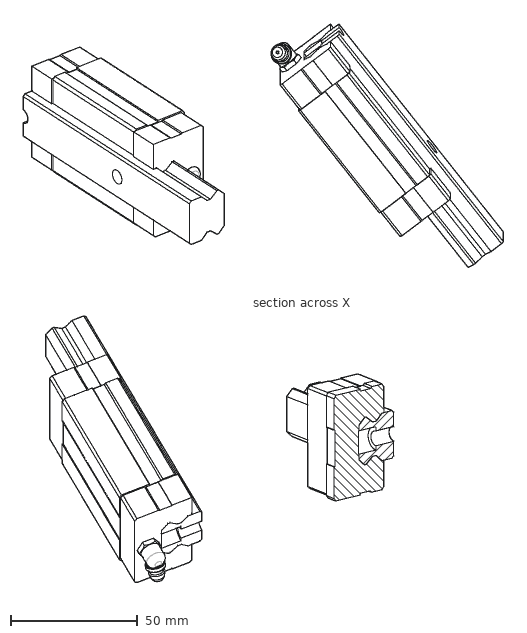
import cadquery as cq
import math


rail_length = 106.0
rail_height = 17.6
rail_half_width = 10.0
rail_edge_chamfer = 0.9
rail_waist_half_width = 7.3
rail_foot_top = 6.1
rail_groove_bottom = 8.9
rail_groove_top = 10.6
rail_head_bottom = 13.8
rail_head_top = 14.8
hole_pitch = 60.0
hole_count = 2
hole_diameter = 6.0
counterbore_diameter = 9.5
counterbore_depth = 8.5

cap_length = 12.7
block_length = 52.1
carriage_length = block_length + 2 * cap_length

block_half_width = 44.0 / 2
block_bottom = 4.9
block_top = 30.0
block_chamfer_across = 1.3
block_chamfer_height = 0.9
block_groove_bottom = 11.0
block_groove_top = 16.8
block_groove_depth = 0.7
top_recess_width = 15.3
top_recess_depth = 0.4

cap_half_width = 21.4
cap_bottom = 4.3
cap_top = 29.5
cap_chamfer = 1.0
cap_groove_bottom = 13.0
cap_groove_top = 18.4
cap_groove_depth = 0.29
cap_groove_slope = 0.6

fitting_height = 23.6
plug_diameter = 7.9
plug_length = 1.4
plug_rounding = 1.3
hex_corner_diameter = 9.5
hex_length = 2.1
hex_chamfer_angle = 30.0
elbow_diameter = 8.0
elbow_length = 9.5
elbow_rounding = 2.6

nipple_tilt = 22.5
nipple_root = 5.0
nipple_stem_radius = 7.2 / 2
nipple_neck_radius = 5.5 / 2
collar_radius = 8.0 / 2
collar_start = 3.5
collar_end = 5.8
collar_chamfer = 0.6
collar_top_chamfer = 0.2
head_radius = 6.6 / 2
head_start = 7.3
head_widest = 7.7
head_shoulder = 9.6
head_shoulder_radius = 5.8 / 2
head_end = 11.0
tip_radius = 4.1 / 2
grease_hole_diameter = 1.0
grease_hole_depth = 1.2


def prism(points, start, length):
    """Extrude an outline of (height, across) points along X."""
    plane = cq.Plane(origin=(start, 0, 0), xDir=(0, 1, 0), normal=(1, 0, 0))
    return cq.Workplane(plane).polyline(points).close().extrude(length)


def mirrored(side):
    """Complete a +Z half outline with its reflection on the -Z side."""
    return side + [(height, -across) for height, across in reversed(side)]


def rail_blank():
    side = [
        (0, rail_half_width - rail_edge_chamfer),
        (rail_edge_chamfer, rail_half_width),
        (rail_foot_top, rail_half_width),
        (rail_groove_bottom, rail_waist_half_width),
        (rail_groove_top, rail_waist_half_width),
        (rail_head_bottom, rail_half_width),
        (rail_head_top, rail_half_width),
        (rail_height, rail_waist_half_width),
    ]
    return prism(mirrored(side), 0, rail_length)


def make_rail():
    rail = rail_blank()
    for index in range(hole_count):
        top_plane = cq.Plane(
            origin=(index * hole_pitch, rail_height, 0), xDir=(1, 0, 0), normal=(0, -1, 0)
        )
        hole = cq.Workplane(top_plane).circle(hole_diameter / 2).extrude(rail_height)
        counterbore = cq.Workplane(top_plane).circle(counterbore_diameter / 2).extrude(counterbore_depth)
        rail = rail.cut(hole).cut(counterbore)
    return rail


def make_block():
    groove_floor = block_half_width - block_groove_depth
    side = [
        (block_bottom, block_half_width - block_chamfer_across),
        (block_bottom + block_chamfer_height, block_half_width),
        (block_groove_bottom, block_half_width),
        (block_groove_bottom + block_groove_depth, groove_floor),
        (block_groove_top, groove_floor),
        (block_groove_top, block_half_width),
        (block_top - block_chamfer_height, block_half_width),
        (block_top, block_half_width - block_chamfer_across),
        (block_top, top_recess_width / 2),
        (block_top - top_recess_depth, top_recess_width / 2),
    ]
    return prism(mirrored(side), cap_length, block_length)


def make_cap(start):
    groove_floor = cap_half_width - cap_groove_depth
    upper_side = [
        (cap_groove_bottom, cap_half_width),
        (cap_groove_bottom, groove_floor),
        (cap_groove_top, groove_floor),
        (cap_groove_top + cap_groove_slope, cap_half_width),
        (cap_top - cap_chamfer, cap_half_width),
        (cap_top, cap_half_width - cap_chamfer),
    ]
    chamfered_corner = [
        (cap_bottom + cap_chamfer, -cap_half_width),
        (cap_bottom, cap_chamfer - cap_half_width),
    ]
    outline = [(cap_bottom, cap_half_width)] + mirrored(upper_side) + chamfered_corner
    return prism(outline, start, cap_length)


def make_plug():
    plane = cq.Plane(origin=(carriage_length, fitting_height, 0), xDir=(0, 1, 0), normal=(1, 0, 0))
    plug = cq.Workplane(plane).circle(plug_diameter / 2).extrude(plug_length)
    return plug.faces(">X").edges().fillet(plug_rounding)


def make_hex():
    """Hexagon with corners along Y, its free end chamfered by a cone flush with the elbow."""
    plane = cq.Plane(origin=(0, fitting_height, 0), xDir=(0, 1, 0), normal=(-1, 0, 0))
    hexagon = cq.Workplane(plane).polygon(6, hex_corner_diameter).extrude(hex_length)
    end_radius = elbow_diameter / 2
    base_radius = end_radius + hex_length / math.tan(math.radians(hex_chamfer_angle))
    cone = cq.Solid.makeCone(
        base_radius, end_radius, hex_length, pnt=cq.Vector(0, fitting_height, 0), dir=cq.Vector(-1, 0, 0)
    )
    return hexagon.intersect(cq.Workplane(cone))


def make_elbow():
    plane = cq.Plane(origin=(0, fitting_height, 0), xDir=(0, 1, 0), normal=(-1, 0, 0))
    elbow = cq.Workplane(plane).circle(elbow_diameter / 2).extrude(elbow_length)
    return elbow.faces("<X").edges().fillet(elbow_rounding)


def make_nipple():
    """Turned nipple: a stem, a collar, a neck and a tapered head."""
    tilt = math.radians(nipple_tilt)
    axis = cq.Vector(-math.sin(tilt), 0, -math.cos(tilt))
    radial = cq.Vector(math.cos(tilt), 0, -math.sin(tilt))
    root = cq.Vector(-nipple_root, fitting_height, 0)
    half_section = cq.Plane(origin=root, xDir=radial, normal=radial.cross(axis))
    profile = [
        (0, 0),
        (nipple_stem_radius, 0),
        (nipple_stem_radius, collar_start),
        (collar_radius - collar_top_chamfer, collar_start),
        (collar_radius, collar_start + collar_top_chamfer),
        (collar_radius, collar_end - collar_chamfer),
        (collar_radius - collar_chamfer, collar_end),
        (nipple_neck_radius, collar_end),
        (nipple_neck_radius, head_start),
        (head_radius, head_widest),
        (head_shoulder_radius, head_shoulder),
        (tip_radius, head_end),
        (0, head_end),
    ]
    nipple = cq.Workplane(half_section).polyline(profile).close().revolve(360, (0, 0), (0, 1))
    tip_plane = cq.Plane(origin=root + axis * head_end, xDir=radial, normal=axis * -1)
    grease_hole = cq.Workplane(tip_plane).circle(grease_hole_diameter / 2).extrude(grease_hole_depth)
    return nipple.cut(grease_hole)


def make_carriage():
    carriage = make_block()
    for start in (0, cap_length + block_length):
        carriage = carriage.union(make_cap(start))
    carriage = carriage.cut(rail_blank())
    for fitting in (make_plug(), make_hex(), make_elbow(), make_nipple()):
        carriage = carriage.union(fitting)
    return carriage


rail = make_rail()
carriage = make_carriage()
result = cq.Compound.makeCompound([rail.val(), carriage.val()])